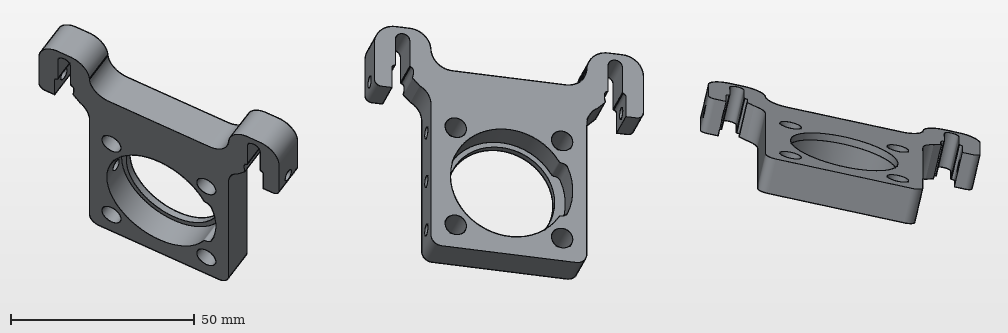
import cadquery as cq
import math

total_width = 76.0
total_height = 66.0
thickness = 10.0
body_width = 44.0
body_corner_radius = 3.0
deck_z = 54.5
bend_radius = 6.0

hook_tip_z = 47.0
hook_tip_radius = 2.0
slot_width = 4.0
slot_top_z = 64.0
nut_recess_width = 6.0
nut_recess_top_z = 54.0
nut_recess_center_z = 52.0
nut_recess_corner_radius = 1.0
nose_radius = 0.5
ramp_base_z = 23.4
under_bend_z = 43.25

bore_diameter = 30.0
recess_diameter = 33.0
recess_depth = 8.0
pocket_radius = 18.0
pocket_height = 16.3
pocket_mouth_round = 1.0
pocket_corner_round = 2.0

cage_hole_diameter = 6.0
cage_pitch = 30.0
screw_hole_diameter = 3.35
hook_hole_z = 50.55

half_total = total_width / 2
half_body = body_width / 2
bore_z = half_body
slot_x = (half_total + half_body) / 2
nut_recess_outer_x = slot_x + nut_recess_width / 2


def front_plane():
    """Workplane on the front face: local x is X, local y is Z, negative extrusion goes into the plate."""
    return cq.Workplane("XZ")


def circle_point(center, radius, degrees):
    angle = math.radians(degrees)
    return center[0] + radius * math.cos(angle), center[1] + radius * math.sin(angle)


def ramp_half_angle(center, radius):
    """The ramp crosses a circle at 135 degrees plus or minus this angle."""
    ramp_distance = (ramp_base_z + center[0] - center[1]) / math.sqrt(2)
    return math.degrees(math.acos(ramp_distance / radius))


def make_body():
    body = front_plane().center(0, deck_z / 2).rect(body_width, deck_z).extrude(-thickness)
    return body.edges("|Y and <Z").fillet(body_corner_radius)


def make_hook():
    """Solid hook on the +X side, still without its slot."""
    crown_z = total_height - bend_radius
    inner_crown = (half_body + bend_radius, crown_z)
    outer_crown = (half_total - bend_radius, crown_z)
    deck_bend = (half_body - bend_radius, deck_z + bend_radius)
    under_bend = (half_body + bend_radius, under_bend_z)
    tip_corner = (half_total - hook_tip_radius, hook_tip_z + hook_tip_radius)

    ramp_angle = 135 - ramp_half_angle(under_bend, bend_radius)

    return (
        front_plane()
        .moveTo(deck_bend[0], deck_z)
        .threePointArc(circle_point(deck_bend, bend_radius, -45), (half_body, deck_bend[1]))
        .lineTo(half_body, crown_z)
        .threePointArc(circle_point(inner_crown, bend_radius, 135), (inner_crown[0], total_height))
        .lineTo(outer_crown[0], total_height)
        .threePointArc(circle_point(outer_crown, bend_radius, 45), (half_total, crown_z))
        .lineTo(half_total, tip_corner[1])
        .threePointArc(circle_point(tip_corner, hook_tip_radius, -45), (tip_corner[0], hook_tip_z))
        .lineTo(nut_recess_outer_x, hook_tip_z)
        .lineTo(nut_recess_outer_x, nut_recess_center_z)
        .lineTo(slot_x, nut_recess_center_z)
        .lineTo(slot_x, ramp_base_z + slot_x)
        .lineTo(*circle_point(under_bend, bend_radius, ramp_angle))
        .threePointArc(
            circle_point(under_bend, bend_radius, (ramp_angle + 180) / 2),
            (half_body, under_bend_z),
        )
        .lineTo(deck_bend[0], under_bend_z)
        .close()
        .extrude(-thickness)
    )


def upright_block(width, bottom_z, top_z):
    """Block through the whole thickness, centred on the hook slot."""
    return (
        front_plane()
        .center(slot_x, (bottom_z + top_z) / 2)
        .rect(width, top_z - bottom_z)
        .extrude(-thickness)
    )


def make_hook_slot():
    """Round-topped slot widening into the round-bottomed nut recess, on the +X side."""
    slot_end_z = slot_top_z - slot_width / 2
    slot = upright_block(slot_width, nut_recess_center_z, slot_end_z)
    slot_end = front_plane().center(slot_x, slot_end_z).circle(slot_width / 2).extrude(-thickness)
    nut_recess = upright_block(nut_recess_width, nut_recess_center_z, nut_recess_top_z)
    nut_recess = nut_recess.edges("|Y and >Z").fillet(nut_recess_corner_radius)
    recess_end = (
        front_plane()
        .center(slot_x, nut_recess_center_z)
        .circle(nut_recess_width / 2)
        .extrude(-thickness)
    )
    return slot.union(slot_end).union(nut_recess).union(recess_end)


def round_nose(hook):
    """Round the sharp edge where the nut recess meets the ramp."""
    center = (slot_x, nut_recess_center_z)
    radius = nut_recess_width / 2
    nose_x, nose_z = circle_point(center, radius, 135 + ramp_half_angle(center, radius))
    nose_edge = cq.selectors.NearestToPointSelector((nose_x, thickness / 2, nose_z))
    return hook.edges("|Y").edges(nose_edge).fillet(nose_radius)


def make_recess():
    """Front recess with the pocket on its +X side, all four pocket corners rounded."""
    recess = front_plane().center(0, bore_z).circle(recess_diameter / 2).extrude(-recess_depth)
    pocket_band = (
        front_plane()
        .center(pocket_radius / 2, bore_z)
        .rect(pocket_radius, pocket_height)
        .extrude(-recess_depth)
    )
    pocket_disc = front_plane().center(0, bore_z).circle(pocket_radius).extrude(-recess_depth)
    recess = recess.union(pocket_disc.intersect(pocket_band))

    corner_rounds = (
        (recess_diameter / 2, pocket_mouth_round),
        (pocket_radius, pocket_corner_round),
    )
    for circle_radius, round_radius in corner_rounds:
        corner_x = math.sqrt(circle_radius**2 - (pocket_height / 2) ** 2)
        for corner_z in (bore_z - pocket_height / 2, bore_z + pocket_height / 2):
            corner = cq.selectors.NearestToPointSelector((corner_x, recess_depth / 2, corner_z))
            recess = recess.edges("|Y").edges(corner).fillet(round_radius)
    return recess


def make_bore():
    return front_plane().center(0, bore_z).circle(bore_diameter / 2).extrude(-thickness)


def make_cage_holes():
    return (
        front_plane()
        .center(0, bore_z)
        .rect(cage_pitch, cage_pitch, forConstruction=True)
        .vertices()
        .circle(cage_hole_diameter / 2)
        .extrude(-thickness)
    )


def make_screw_hole(start_x, end_x, z):
    """Hole along X at mid-thickness."""
    plane = cq.Workplane("YZ", origin=(start_x, thickness / 2, z))
    return plane.circle(screw_hole_diameter / 2).extrude(end_x - start_x)


hook = round_nose(make_hook().cut(make_hook_slot()))
hook = hook.cut(make_screw_hole(slot_x, half_total, hook_hole_z))

result = make_body().union(hook).union(hook.mirror("YZ"))
result = result.cut(make_bore()).cut(make_recess()).cut(make_cage_holes())

screw_holes = (
    (bore_z - cage_pitch / 2, -cage_pitch / 2),
    (bore_z, 0),
    (bore_z + cage_pitch / 2, -cage_pitch / 2),
)
for screw_z, end_x in screw_holes:
    result = result.cut(make_screw_hole(-half_body, end_x, screw_z))